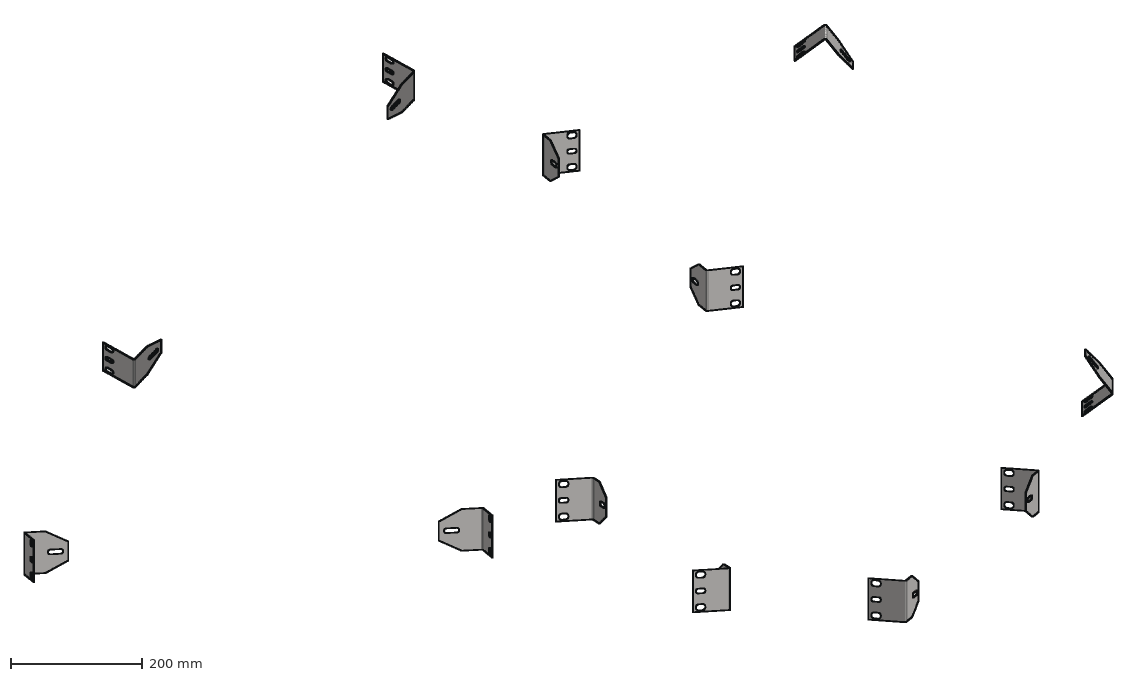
import cadquery as cq

span = 722.5
width = 60.0
height = 65.0

thickness = 1.5
outer_bend_radius = 3.0
inner_bend_radius = outer_bend_radius - thickness

flange_length = 70.0
taper_start = 34.0
tip_height = 29.5
side_slot_center = 50.0
side_slot_length = 24.0
side_slot_height = 7.0

front_slot_center = 12.0
front_slot_length = 15.0
outer_slot_height = 9.5
middle_slot_height = 7.0
front_slot_pitch = 25.0

free_edge_x = -width / 2
side_face_x = width / 2
front_face_y = -span / 2


def folded_sheet():
    """L-shaped sheet with a rounded bend, extruded along Z."""
    outer_corner = (
        cq.Workplane("XY", origin=(0, 0, -height / 2))
        .moveTo(free_edge_x, front_face_y)
        .lineTo(side_face_x, front_face_y)
        .lineTo(side_face_x, front_face_y + flange_length)
        .lineTo(side_face_x - thickness, front_face_y + flange_length)
        .lineTo(side_face_x - thickness, front_face_y + thickness)
        .lineTo(free_edge_x, front_face_y + thickness)
        .close()
        .extrude(height)
    )
    outer_bend = cq.selectors.NearestToPointSelector((side_face_x, front_face_y, 0))
    inner_bend = cq.selectors.NearestToPointSelector(
        (side_face_x - thickness, front_face_y + thickness, 0)
    )
    return (
        outer_corner.edges(inner_bend).fillet(inner_bend_radius)
        .edges(outer_bend).fillet(outer_bend_radius)
    )


def side_outline():
    """Tapered outline of the side flange, carried across the full width."""
    taper_y = front_face_y + taper_start
    tip_y = front_face_y + flange_length
    return (
        cq.Workplane("YZ", origin=(free_edge_x, 0, 0))
        .polyline([
            (front_face_y, -height / 2),
            (taper_y, -height / 2),
            (tip_y, -tip_height / 2),
            (tip_y, tip_height / 2),
            (taper_y, height / 2),
            (front_face_y, height / 2),
        ])
        .close()
        .extrude(width)
    )


def side_slot():
    """Round-ended cutter through the side flange."""
    return (
        cq.Workplane("YZ", origin=(side_face_x - thickness / 2, 0, 0))
        .center(front_face_y + side_slot_center, 0)
        .slot2D(side_slot_length, side_slot_height)
        .extrude(thickness, both=True)
    )


def front_slot(slot_height, center_z):
    """Round-ended cutter through the front flange."""
    return (
        cq.Workplane("XZ", origin=(0, front_face_y + thickness / 2, 0))
        .center(free_edge_x + front_slot_center, center_z)
        .slot2D(front_slot_length, slot_height)
        .extrude(thickness, both=True)
    )


def bracket():
    """Bracket at the -Y end."""
    body = folded_sheet().intersect(side_outline()).cut(side_slot())
    body = body.cut(front_slot(middle_slot_height, 0))
    for side in (-1, 1):
        body = body.cut(front_slot(outer_slot_height, side * front_slot_pitch))
    return body


bracket_bodies = []
near_bracket = bracket()
for placed_bracket in (near_bracket, near_bracket.mirror("XZ")):
    bracket_bodies.append(placed_bracket.val())

result = cq.Compound.makeCompound(bracket_bodies)